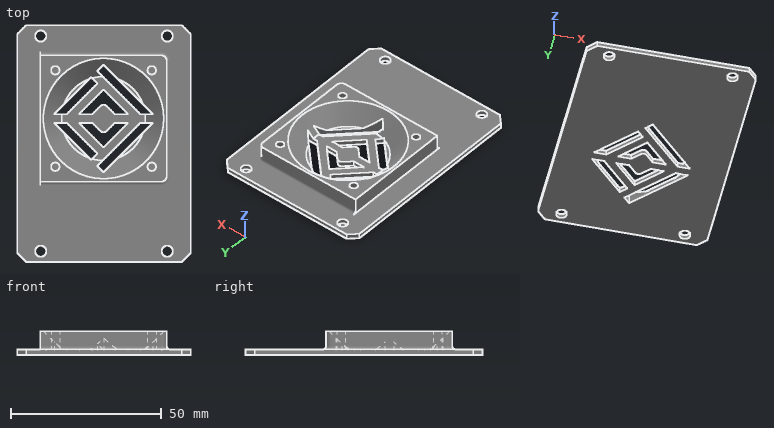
import cadquery as cq

plate_width = 57.6
plate_length = 78.6
plate_thickness = 2.0
corner_chamfer = 3.0
plate_hole_diameter = 3.6
plate_hole_spacing_x = 42.0
plate_hole_spacing_y = 71.4

total_height = 8.0
block_x = -0.15
block_y = 8.3
block_side = 42.0
block_corner_radius = 2.0
base_fillet_radius = 1.0
screw_hole_diameter = 2.8
screw_hole_spacing = 32.0

bowl_top_radius = 20.0
bowl_floor_radius = 13.9

slot_outer_tip = 17.8
slot_inner_tip = 13.7
window_tip = 9.6
hub_tip = 5.2
hub_nose_radius = 1.4
crossbar_half_width = 1.5

block_height = total_height - plate_thickness
block_left = block_x - block_side / 2
block_right = block_x + block_side / 2


def make_plate():
    plate = (
        cq.Workplane("XY")
        .box(plate_width, plate_length, plate_thickness, centered=(True, True, False))
        .edges("|Z")
        .chamfer(corner_chamfer)
    )
    holes = (
        cq.Workplane("XY")
        .rarray(plate_hole_spacing_x, plate_hole_spacing_y, 2, 2)
        .circle(plate_hole_diameter / 2)
        .extrude(plate_thickness)
    )
    return plate.cut(holes)


def make_block():
    """Block standing on the plate, rounded at its two +X corners."""
    return (
        cq.Workplane("XY", origin=(block_x, block_y, plate_thickness))
        .box(block_side, block_side, block_height, centered=(True, True, False))
        .edges("|Z and >X")
        .fillet(block_corner_radius)
    )


def fillet_block_base(body):
    """Round the joint with the plate on every side of the block except -X."""
    margin = base_fillet_radius / 2
    joint_zone = cq.selectors.BoxSelector(
        (block_left + margin, block_y - block_side / 2 - margin, plate_thickness - margin),
        (block_right + margin, block_y + block_side / 2 + margin, plate_thickness + margin),
    )
    return body.edges(joint_zone).fillet(base_fillet_radius)


def make_bowl():
    return (
        cq.Workplane("XY", origin=(block_x, block_y, plate_thickness))
        .circle(bowl_floor_radius)
        .workplane(offset=block_height)
        .circle(bowl_top_radius)
        .loft()
    )


def make_screw_holes():
    """Blind holes from the block top to the plate surface."""
    return (
        cq.Workplane("XY", origin=(block_x, block_y, plate_thickness))
        .rarray(screw_hole_spacing, screw_hole_spacing, 2, 2)
        .circle(screw_hole_diameter / 2)
        .extrude(block_height)
    )


def grille_prism(points):
    return cq.Workplane("XY", origin=(block_x, block_y, 0)).polyline(points).close().extrude(total_height)


def make_upper_openings():
    """Grille openings on the +Y side of the crossbar, with edges parallel or at 45 degrees to it."""
    bar = crossbar_half_width
    slot_step = (slot_outer_tip - slot_inner_tip) / 2

    right_slot = grille_prism([
        (slot_inner_tip - bar, bar),
        (slot_outer_tip - bar, bar),
        (0, slot_outer_tip),
        (-slot_step, slot_outer_tip - slot_step),
    ])

    end_outer_x = (window_tip - slot_outer_tip) / 2
    end_inner_x = (window_tip - slot_inner_tip) / 2
    left_slot = grille_prism([
        (bar - slot_inner_tip, bar),
        (bar - slot_outer_tip, bar),
        (end_outer_x, slot_outer_tip + end_outer_x),
        (end_inner_x, slot_inner_tip + end_inner_x),
    ])

    window = grille_prism([(bar - window_tip, bar), (window_tip - bar, bar), (0, window_tip)])
    hub = grille_prism([(bar - hub_tip, bar), (hub_tip - bar, bar), (0, hub_tip)])
    hub = hub.edges("|Z and >Y").fillet(hub_nose_radius)
    window = window.cut(hub)
    return right_slot.union(left_slot).union(window)


body = fillet_block_base(make_plate().union(make_block()))
body = body.cut(make_bowl()).cut(make_screw_holes())

upper_openings = make_upper_openings()
lower_openings = upper_openings.mirror("XZ", (0, block_y, 0))
result = body.cut(upper_openings).cut(lower_openings)